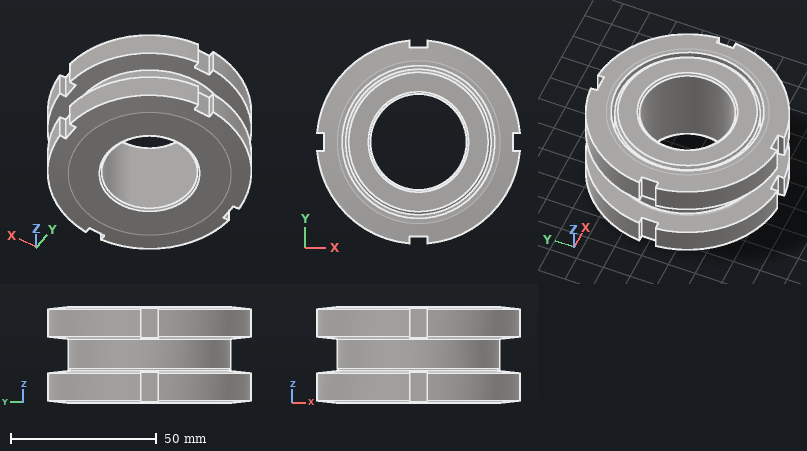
import cadquery as cq
import math

outer_width = 69.75
total_height = 33.0

flange_height = 11.0
flange_slope_drop = 0.8
flange_flat_radius = 28.0
slot_width = 6.15
slot_floor_radius = 32.5
slot_count = 4
rim_radius = math.hypot(outer_width / 2, slot_width / 2)
slot_depth = rim_radius - slot_floor_radius

collar_radius = flange_flat_radius
collar_chamfer = 0.8
ring_bore_radius = 26.2

sleeve_radius = 25.0
sleeve_chamfer = 1.05
bore_radius = 16.45
bore_chamfer = 0.8


def make_flange(base_z):
    """Slotted disc whose two faces slope down towards the rim."""
    top_z = base_z + flange_height
    disc = (
        cq.Workplane("XZ")
        .moveTo(0, base_z)
        .lineTo(flange_flat_radius, base_z)
        .lineTo(rim_radius, base_z + flange_slope_drop)
        .lineTo(rim_radius, top_z - flange_slope_drop)
        .lineTo(flange_flat_radius, top_z)
        .lineTo(0, top_z)
        .close()
        .revolve(360, (0, 0, 0), (0, 1, 0))
    )
    slots = (
        cq.Workplane("XY", origin=(0, 0, base_z))
        .polarArray(slot_floor_radius + slot_depth / 2, 0, 360, slot_count)
        .rect(slot_depth, slot_width)
        .extrude(flange_height)
    )
    return disc.cut(slots)


def make_upper_ring():
    """Flange with a collar that stands on the lower flange around the sleeve."""
    collar = (
        cq.Workplane("XY", origin=(0, 0, flange_height))
        .circle(collar_radius)
        .extrude(total_height - flange_height)
        .faces("<Z")
        .chamfer(collar_chamfer)
    )
    bore = cq.Workplane("XY").circle(ring_bore_radius).extrude(total_height)
    return make_flange(total_height - flange_height).union(collar).cut(bore)


def make_flanged_sleeve():
    """Lower flange with a central sleeve and a through bore."""
    sleeve = (
        cq.Workplane("XY")
        .circle(sleeve_radius)
        .extrude(total_height)
        .faces(">Z")
        .chamfer(sleeve_chamfer)
    )
    bore = (
        cq.Workplane("XZ")
        .moveTo(0, 0)
        .lineTo(bore_radius + bore_chamfer, 0)
        .lineTo(bore_radius, bore_chamfer)
        .lineTo(bore_radius, total_height - bore_chamfer)
        .lineTo(bore_radius + bore_chamfer, total_height)
        .lineTo(0, total_height)
        .close()
        .revolve(360, (0, 0, 0), (0, 1, 0))
    )
    return make_flange(0).union(sleeve).cut(bore)


upper_ring = make_upper_ring()
flanged_sleeve = make_flanged_sleeve()

result = cq.Compound.makeCompound([upper_ring.solids().val(), flanged_sleeve.solids().val()])